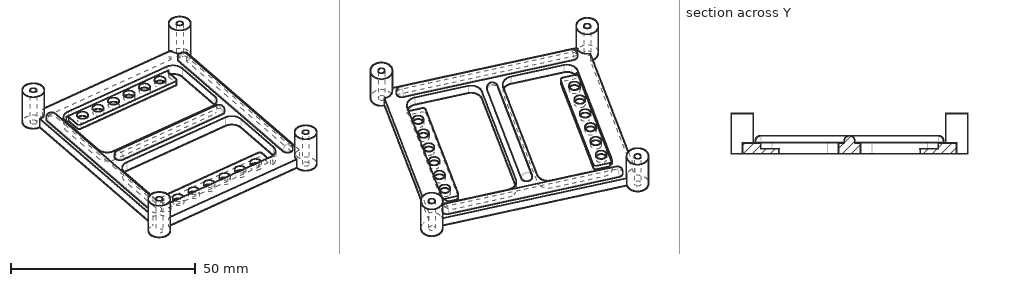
import cadquery as cq

overall_x = 64
overall_y = 55.0
post_height = 11.0
post_diameter = 6.0
post_hole_diameter = 1.8
frame_x = overall_x - post_diameter
frame_y = overall_y - post_diameter
frame_thickness = 3.0

border = 5.0
centre_bar_width = 6.0
window_corner_radius = 3.0
window_x = (frame_x - centre_bar_width) / 2 - border
window_y = frame_y - 2 * border
window_offset = (centre_bar_width + window_x) / 2

ridge_width = 3.0
ridge_top = 5.0
ridge_axis_z = ridge_top - ridge_width / 2
long_ridge_span = frame_x - 2 * border
centre_ridge_length = 36.15
centre_ridge_span = centre_ridge_length - ridge_width
long_ridge_offset = (frame_y - border) / 2

rail_width = 5.0
rail_length = 33.15
rail_thickness = 1.5
rail_corner_radius = 0.8
rail_root_radius = 0.5
rail_hole_diameter = 3.0
rail_hole_inset = 2.0
rail_hole_pitch = 5.2
rail_hole_count = 6
rail_hole_shift = -0.1
inner_side_x = frame_x / 2 - border


def make_frame():
    frame = cq.Workplane("XY").box(frame_x, frame_y, frame_thickness, centered=(True, True, False))
    windows = (
        cq.Workplane("XY")
        .pushPoints([(-window_offset, 0), (window_offset, 0)])
        .rect(window_x, window_y)
        .extrude(frame_thickness)
        .edges("|Z")
        .fillet(window_corner_radius)
    )
    return frame.cut(windows)


def make_ridge(span):
    """Straight-sided ridge along X with a half-round top and spherical ends."""
    radius = ridge_width / 2
    base = cq.Workplane("XY").slot2D(span + ridge_width, ridge_width).extrude(ridge_axis_z - frame_thickness)
    base = base.translate((0, 0, frame_thickness))
    top = (
        cq.Workplane("XY")
        .moveTo(-span / 2 - radius, 0)
        .radiusArc((-span / 2, radius), radius)
        .lineTo(span / 2, radius)
        .radiusArc((span / 2 + radius, 0), radius)
        .close()
        .revolve(180, (0, 0, 0), (1, 0, 0))
        .translate((0, 0, ridge_axis_z))
    )
    return base.union(top)


def make_rail(side):
    """Rail on one side: -1 for the -X side, +1 for the +X side."""
    root_x = side * inner_side_x
    tip_x = root_x - side * rail_width
    half_length = rail_length / 2
    flared_half_length = half_length + rail_root_radius
    flare_x = root_x - side * rail_root_radius
    buried_x = root_x + side * border / 2
    rail = (
        cq.Workplane("XY")
        .moveTo(tip_x, -half_length)
        .lineTo(flare_x, -half_length)
        .radiusArc((root_x, -flared_half_length), -side * rail_root_radius)
        .lineTo(buried_x, -flared_half_length)
        .lineTo(buried_x, flared_half_length)
        .lineTo(root_x, flared_half_length)
        .radiusArc((flare_x, half_length), -side * rail_root_radius)
        .lineTo(tip_x, half_length)
        .close()
        .extrude(rail_thickness)
    )
    tip_edges = "<X" if side > 0 else ">X"
    return rail.faces(tip_edges).edges("|Z").fillet(rail_corner_radius)


def make_rail_holes():
    first_y = rail_hole_shift - (rail_hole_count - 1) * rail_hole_pitch / 2
    hole_x = inner_side_x - rail_hole_inset
    points = [
        (side * hole_x, first_y + index * rail_hole_pitch)
        for side in (-1, 1)
        for index in range(rail_hole_count)
    ]
    return cq.Workplane("XY").pushPoints(points).circle(rail_hole_diameter / 2).extrude(rail_thickness)


def corner_cylinders(diameter):
    return (
        cq.Workplane("XY")
        .rect(frame_x, frame_y, forConstruction=True)
        .vertices()
        .circle(diameter / 2)
        .extrude(post_height)
    )


result = make_frame()

for rail_side in (-1, 1):
    result = result.union(make_rail(rail_side))
result = result.cut(make_rail_holes())

for ridge_y in (-long_ridge_offset, long_ridge_offset):
    result = result.union(make_ridge(long_ridge_span).translate((0, ridge_y, 0)))
centre_ridge = make_ridge(centre_ridge_span).rotate((0, 0, 0), (0, 0, 1), 90)
result = result.union(centre_ridge)

result = result.union(corner_cylinders(post_diameter)).cut(corner_cylinders(post_hole_diameter))